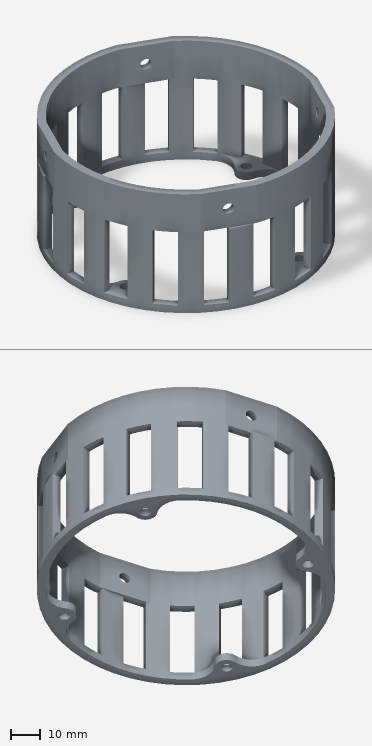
import cadquery as cq
import math

outer_radius = 50.0
wall = 3.0
inner_radius = outer_radius - wall
height = 47.0
base_height = 3.0
band_height = 15.0
window_height = height - base_height - band_height

window_count = 18
window_pitch = 360 / window_count
window_angle = window_pitch / 2
first_window = -90.0

flat_depth = 0.95
flat_outer = outer_radius - flat_depth
flat_inner = inner_radius - flat_depth
flat_angles = (45, 135, 225, 315)
hole_diameter = 4.0

lug_radius = 4.0
lug_center = inner_radius - lug_radius
lug_fillet = 8.0
lug_angles = (0, 90, 180, 270)


def polar(radius, angle):
    """Point in the XY plane at an angle in degrees."""
    turn = math.radians(angle)
    return (radius * math.cos(turn), radius * math.sin(turn))


def make_base_ring():
    """Full round ring up to the underside of the band."""
    ring = cq.Workplane("XY").circle(outer_radius).circle(inner_radius)
    return ring.extrude(height - band_height)


def make_band():
    """Upper band whose inner and outer circles are both cut by four flats."""

    def flatted_disc(radius, flat_distance):
        disc = cq.Workplane("XY").circle(radius).extrude(band_height)
        square = cq.Workplane("XY").rect(2 * flat_distance, 2 * flat_distance).extrude(band_height)
        return disc.intersect(square.rotate((0, 0, 0), (0, 0, 1), flat_angles[0]))

    band = flatted_disc(outer_radius, flat_outer).cut(flatted_disc(inner_radius, flat_inner))
    return band.translate((0, 0, height - band_height))


def make_window(angle):
    """Wedge from the axis out past the wall, centred on an angle."""
    reach = 2 * outer_radius
    return (
        cq.Workplane("XY", origin=(0, 0, base_height))
        .polyline([(0, 0), polar(reach, -window_angle / 2), polar(reach, window_angle / 2)])
        .close()
        .extrude(window_height)
        .rotate((0, 0, 0), (0, 0, 1), angle)
    )


def make_screw_hole(angle):
    """Radial hole through one flat, halfway up the band."""
    return (
        cq.Workplane("YZ", origin=(0, 0, height - band_height / 2))
        .circle(hole_diameter / 2)
        .extrude(outer_radius)
        .rotate((0, 0, 0), (0, 0, 1), angle)
    )


def make_lug(angle):
    """Round lug blended into the inner wall by a fillet arc on each side."""
    fillet_center_radius = inner_radius - lug_fillet
    center_gap = lug_radius + lug_fillet
    squares = fillet_center_radius**2 + lug_center**2 - center_gap**2
    fillet_angle = math.degrees(math.acos(squares / (2 * fillet_center_radius * lug_center)))
    fillet_x, fillet_y = polar(fillet_center_radius, fillet_angle)

    wall_x, wall_y = polar(inner_radius, fillet_angle)
    share = lug_radius / center_gap
    neck_x = lug_center + share * (fillet_x - lug_center)
    neck_y = share * fillet_y

    to_neck = math.degrees(math.atan2(neck_y - fillet_y, neck_x - fillet_x))
    middle_dx, middle_dy = polar(lug_fillet, (fillet_angle + to_neck) / 2)
    middle_x = fillet_x + middle_dx
    middle_y = fillet_y + middle_dy

    root_radius = inner_radius + wall / 2
    root_x, root_y = polar(root_radius, fillet_angle)
    return (
        cq.Workplane("XY")
        .moveTo(root_x, root_y)
        .lineTo(wall_x, wall_y)
        .threePointArc((middle_x, middle_y), (neck_x, neck_y))
        .threePointArc((lug_center - lug_radius, 0), (neck_x, -neck_y))
        .threePointArc((middle_x, -middle_y), (wall_x, -wall_y))
        .lineTo(root_x, -root_y)
        .threePointArc((root_radius, 0), (root_x, root_y))
        .close()
        .extrude(base_height)
        .cut(cq.Workplane("XY").center(lug_center, 0).circle(hole_diameter / 2).extrude(base_height))
        .rotate((0, 0, 0), (0, 0, 1), angle)
    )


result = make_base_ring()
for index in range(window_count):
    result = result.cut(make_window(first_window + index * window_pitch))

result = result.union(make_band())
for flat_angle in flat_angles:
    result = result.cut(make_screw_hole(flat_angle))

for lug_angle in lug_angles:
    result = result.union(make_lug(lug_angle))